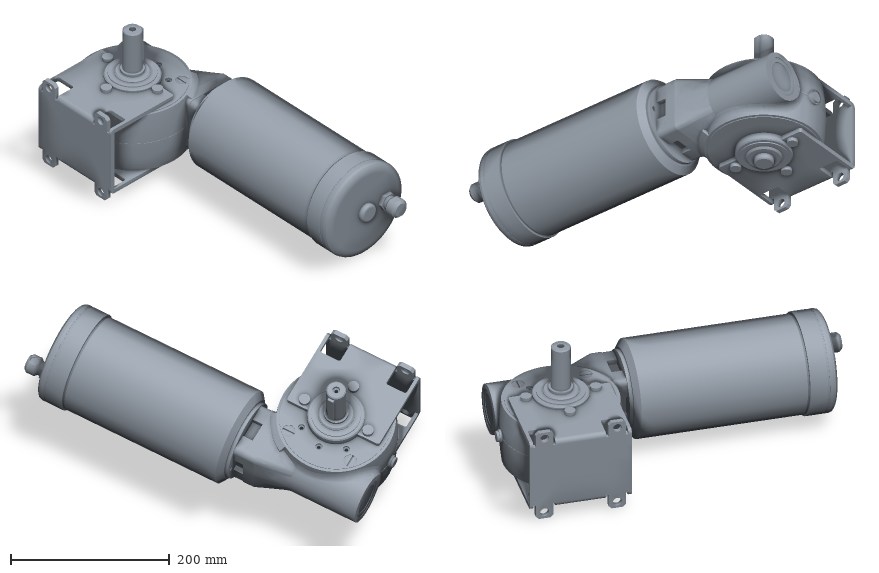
import cadquery as cq
import math


MOTOR_Y = 62.0
BODY_RADIUS = 64.5
CAP_RADIUS = 67.0
CAP_END_X = 362.0
PLATE_RADIUS = 52.0
PLATE_START_X = 93.0

DRUM_HALF_HEIGHT = 43.0
DRUM_EDGE_RADIUS = 75.5
DRUM_MID_RADIUS = 78.3
COVER_RADIUS = 71.5
COVER_Z = 44.0

TUBE_RADIUS = 32.5
TUBE_START_X = -78.3
TAPER_START_X = 15.5
BLOCK_START_X = 64.0
BLOCK_END_X = 78.5
BLOCK_SIDE = 77.0
BLOCK_CORNER = 6.5
NECK_SIDE = 76.0
BLEND_RADIUS = 9.5

SHEET = 6.0
BRACKET_WIDTH = 133.0
FOOT_Y = -100.5
SIDE_PLATE_Y = 9.5
SIDE_PLATE_Z = COVER_Z + SHEET
WINDOW_WIDTH = 29.0
WINDOW_X = 47.5
WINDOW_TOP_Y = -70.0
EAR_WIDTH = 23.0
EAR_END_Z = 65.0
EAR_HOLE_Z = 56.0
EAR_HOLE_DIAMETER = 11.5

SHAFT_DIAMETER = 25.0
SHAFT_TOP_Z = 123.5
SHAFT_BOTTOM_Z = -67.0
SHAFT_CHAMFER = 1.5
FLANGE_RADIUS = 36.5
BOLT_CIRCLE_RADIUS = 45.5
BOLT_HEAD_TOP_Z = SIDE_PLATE_Z + 5.0


def cylinder_x(x_start, x_end, radius, y=MOTOR_Y):
    """Cylinder along X, centred on z = 0."""
    plane = cq.Workplane("YZ", origin=(x_start, y, 0))
    return plane.circle(radius).extrude(x_end - x_start)


def cylinder_z(z_start, z_end, radius, x=0, y=0):
    """Cylinder along Z."""
    return cq.Workplane("XY", origin=(x, y, z_start)).circle(radius).extrude(z_end - z_start)


def revolve_x(profile, y):
    """Turn an (x, radius) outline about the line along X at the given y and z = 0."""
    return profile.revolve(360, (0, 0, 0), (1, 0, 0)).translate((0, y, 0))


def both_sides(shape):
    """The shape together with its mirror image below z = 0."""
    return shape.union(shape.mirror("XY"))


def bolt_circle_point(angle):
    """Point on the cover's bolt circle, at an angle in degrees from +X."""
    turn = math.radians(angle)
    return BOLT_CIRCLE_RADIUS * math.cos(turn), BOLT_CIRCLE_RADIUS * math.sin(turn)


def make_drum_and_tube():
    """Barrel-shaped drum with the worm tube passing beside it, joined by a rounded blend."""
    drum = (
        cq.Workplane("XZ")
        .moveTo(0, -DRUM_HALF_HEIGHT)
        .lineTo(DRUM_EDGE_RADIUS, -DRUM_HALF_HEIGHT)
        .threePointArc((DRUM_MID_RADIUS, 0), (DRUM_EDGE_RADIUS, DRUM_HALF_HEIGHT))
        .lineTo(0, DRUM_HALF_HEIGHT)
        .close()
        .revolve(360, (0, 0, 0), (0, 1, 0))
    )
    drum = drum.rotate((0, 0, 0), (0, 0, 1), -90)
    reach = 114.0
    tube = cylinder_x(-reach, reach, TUBE_RADIUS).rotate((0, MOTOR_Y, 0), (1, MOTOR_Y, 0), 90)
    body = drum.union(tube).edges("%BSPLINE").fillet(BLEND_RADIUS)

    tube_zone_y = 14.0
    for x_start, x_end in ((-reach, TUBE_START_X), (BLOCK_END_X, reach)):
        waste = (
            cq.Workplane("XY")
            .box(x_end - x_start, reach, reach, centered=(False, False, True))
            .translate((x_start, tube_zone_y, 0))
        )
        body = body.cut(waste)

    ridge_half_height = 1.0
    ridge_radius = DRUM_MID_RADIUS + 0.5
    ridge = cylinder_z(-ridge_half_height, ridge_half_height, ridge_radius)
    return body.union(ridge)


def make_taper_and_block():
    """Round worm tube widening into a square block towards the motor."""
    round_end = cq.Sketch().circle(TUBE_RADIUS)
    square_end = cq.Sketch().rect(BLOCK_SIDE, BLOCK_SIDE).vertices().fillet(BLOCK_CORNER)
    taper_length = BLOCK_START_X - TAPER_START_X
    taper = (
        cq.Workplane("YZ", origin=(TAPER_START_X, MOTOR_Y, 0))
        .placeSketch(round_end, square_end.moved(cq.Location(cq.Vector(0, 0, taper_length))))
        .loft()
    )
    block = (
        cq.Workplane("YZ", origin=(BLOCK_START_X, MOTOR_Y, 0))
        .placeSketch(square_end)
        .extrude(BLOCK_END_X - BLOCK_START_X)
    )
    return taper.union(block)


def make_shoulder():
    """Sloping shoulder that runs from the drum rim down onto the square block."""
    block_top_z = BLOCK_SIDE / 2
    inner_radius = DRUM_EDGE_RADIUS - 2.5
    outer_radius = 83.5
    base_z = 31.0
    first_angle = 22
    sweep = 38
    shoulder = (
        cq.Workplane("XZ")
        .moveTo(inner_radius, base_z)
        .lineTo(outer_radius, base_z)
        .lineTo(outer_radius, block_top_z)
        .lineTo(DRUM_EDGE_RADIUS, DRUM_HALF_HEIGHT)
        .lineTo(inner_radius, DRUM_HALF_HEIGHT)
        .close()
        .revolve(sweep, (0, 0, 0), (0, 1, 0))
        .rotate((0, 0, 0), (0, 0, 1), first_angle)
    )
    limit = cq.Workplane("XY").box(BLOCK_END_X, BLOCK_END_X, DRUM_HALF_HEIGHT, centered=False)
    return shoulder.intersect(limit)


def make_tube_end_recess():
    """Two-step round recess in the closed end of the worm tube."""
    depth = 1.0
    wide_radius = 26.0
    narrow_radius = 20.0
    wide = cylinder_x(TUBE_START_X, TUBE_START_X + depth, wide_radius)
    narrow = cylinder_x(TUBE_START_X, TUBE_START_X + 2 * depth, narrow_radius)
    return wide.union(narrow)


def make_neck():
    """Square neck between gearbox and motor, with a channel along each of its four faces."""
    channel_width = 26.0
    channel_depth = 7.0
    corner_radius = 7.0
    length = PLATE_START_X - BLOCK_END_X
    neck = (
        cq.Workplane("YZ", origin=(BLOCK_END_X, MOTOR_Y, 0))
        .rect(NECK_SIDE, NECK_SIDE)
        .extrude(length)
        .edges("|X")
        .fillet(corner_radius)
    )
    half = NECK_SIDE / 2
    channels = (
        cq.Workplane("YZ", origin=(BLOCK_END_X, MOTOR_Y, 0))
        .pushPoints([(half, 0), (-half, 0)])
        .rect(2 * channel_depth, channel_width)
        .pushPoints([(0, half), (0, -half)])
        .rect(channel_width, 2 * channel_depth)
        .extrude(length)
    )
    return neck.cut(channels)


def make_motor():
    plate_end_x = 97.5
    cone_start_radius = 55.0
    cone_end_x = 105.0
    groove_start_x = 321.5
    groove_radius = BODY_RADIUS - 1.5
    cap_start_x = 324.5
    cap_groove_start_x = 347.0
    cap_groove_end_x = 350.0
    cap_groove_radius = CAP_RADIUS - 0.5
    bevel_start_x = 354.5
    dome_start = (357.5, 66.0)
    dome_flat_radius = 55.5
    profile = (
        cq.Workplane("XY")
        .moveTo(CAP_END_X, 0)
        .lineTo(CAP_END_X, dome_flat_radius)
        .tangentArcPoint(dome_start, relative=False)
        .lineTo(bevel_start_x, CAP_RADIUS)
        .lineTo(cap_groove_end_x, CAP_RADIUS)
        .lineTo(cap_groove_end_x, cap_groove_radius)
        .lineTo(cap_groove_start_x, cap_groove_radius)
        .lineTo(cap_groove_start_x, CAP_RADIUS)
        .lineTo(cap_start_x, CAP_RADIUS)
        .lineTo(cap_start_x, groove_radius)
        .lineTo(groove_start_x, groove_radius)
        .lineTo(groove_start_x, BODY_RADIUS)
        .lineTo(cone_end_x, BODY_RADIUS)
        .lineTo(plate_end_x, cone_start_radius)
        .lineTo(plate_end_x, PLATE_RADIUS)
        .lineTo(PLATE_START_X, PLATE_RADIUS)
        .lineTo(PLATE_START_X, 0)
        .close()
    )
    hole_radius = 3.55
    hole_depth = 4.0
    hole_offset = 43.5
    hole_y = MOTOR_Y + hole_offset
    hole = cylinder_x(PLATE_START_X, PLATE_START_X + hole_depth, hole_radius, hole_y)
    return revolve_x(profile, MOTOR_Y).cut(hole)


def make_cable_gland():
    gland_y = 96.8
    gland_radius = 13.0
    hex_length = 5.5
    neck_radius = 9.5
    neck_end_x = 372.0
    nut_start_x = 375.5
    nut_end_x = 386.0
    end_x = 390.0
    dimple_x = 380.5
    dimple_radius = 5.5
    dimple_depth = 2.0
    profile = (
        cq.Workplane("XY")
        .moveTo(CAP_END_X, 0)
        .lineTo(CAP_END_X, neck_radius)
        .lineTo(neck_end_x, neck_radius)
        .lineTo(nut_start_x, gland_radius)
        .lineTo(nut_end_x, gland_radius)
        .lineTo(end_x, neck_radius)
        .lineTo(end_x, 0)
        .close()
    )
    hexagon = (
        cq.Workplane("YZ", origin=(CAP_END_X, gland_y, 0))
        .polygon(6, 2 * gland_radius)
        .extrude(hex_length)
    )
    dimple = cylinder_z(gland_radius - dimple_depth, gland_radius, dimple_radius, dimple_x, gland_y)
    return revolve_x(profile, gland_y).union(hexagon).cut(dimple)


def make_cap_screw():
    """Domed screw in the middle of the motor cap."""
    head_radius = 13.0
    head_height = 7.0
    head_rounding = 4.0
    head = cylinder_x(CAP_END_X, CAP_END_X + head_height, head_radius)
    return head.faces(">X").edges().fillet(head_rounding)


def make_bracket():
    """Folded sheet: a foot plate, two side plates and four ears with holes."""
    plate_corner_radius = 3.5
    window_corner_radius = 3.0
    ear_chamfer = 4.0
    depth = SIDE_PLATE_Y - FOOT_Y
    outer = (
        cq.Workplane("XY")
        .box(BRACKET_WIDTH, depth, 2 * SIDE_PLATE_Z)
        .translate((0, FOOT_Y + depth / 2, 0))
        .edges("|X and <Y")
        .fillet(SHEET)
        .edges("|Z and >Y")
        .fillet(plate_corner_radius)
    )
    inner = (
        cq.Workplane("XY")
        .box(BRACKET_WIDTH, depth, 2 * COVER_Z)
        .translate((0, FOOT_Y + SHEET + depth / 2, 0))
    )
    bracket = outer.cut(inner)
    window_length = WINDOW_TOP_Y - FOOT_Y
    window = (
        cq.Workplane("XY")
        .box(WINDOW_WIDTH, window_length, SHEET)
        .edges("|Z and >Y")
        .fillet(window_corner_radius)
        .translate((0, FOOT_Y + window_length / 2, COVER_Z + SHEET / 2))
    )
    ear_length = EAR_END_Z - COVER_Z + SHEET
    ear = (
        cq.Workplane("XY")
        .box(EAR_WIDTH, SHEET, ear_length)
        .edges("|Y and >Z")
        .chamfer(ear_chamfer)
        .translate((0, FOOT_Y + SHEET / 2, EAR_END_Z - ear_length / 2))
    )
    ear_hole = (
        cq.Workplane("XZ", origin=(0, FOOT_Y + SHEET, EAR_HOLE_Z))
        .circle(EAR_HOLE_DIAMETER / 2)
        .extrude(SHEET)
    )
    ear = ear.cut(ear_hole)
    for x in (-WINDOW_X, WINDOW_X):
        bracket = bracket.cut(both_sides(window.translate((x, 0, 0))))
        bracket = bracket.union(both_sides(ear.translate((x, 0, 0))))
    return bracket


def make_bearing_flange():
    """Stepped flange around the shaft, with three bolt heads on the side plate."""
    flange_z = 54.5
    flange_chamfer = 1.5
    step_z = 56.0
    step_radius = 31.5
    hub_z = 59.0
    hub_radius = 23.2
    hub_chamfer = 2.0
    bolt_head_radius = 7.0
    flange = cylinder_z(COVER_Z, flange_z, FLANGE_RADIUS).faces(">Z").edges().chamfer(flange_chamfer)
    step = cylinder_z(flange_z, step_z, step_radius)
    hub = cylinder_z(step_z, hub_z, hub_radius).faces(">Z").edges().chamfer(hub_chamfer)
    flange = flange.union(step).union(hub)
    for angle in (180, 270, 360):
        x, y = bolt_circle_point(angle)
        flange = flange.union(cylinder_z(COVER_Z, BOLT_HEAD_TOP_Z, bolt_head_radius, x, y))
    return flange


def make_shaft():
    shaft = cylinder_z(SHAFT_BOTTOM_Z, SHAFT_TOP_Z, SHAFT_DIAMETER / 2)
    shaft = shaft.faces("<Z or >Z").edges().chamfer(SHAFT_CHAMFER)
    collar_z = 62.5
    collar_radius = 15.5
    shaft = shaft.union(cylinder_z(COVER_Z, collar_z, collar_radius))
    key_start_z = 69.0
    key_length = 50.0
    key_width = 8.0
    key_outer_y = 15.5
    key = (
        cq.Workplane("XY")
        .box(key_width, key_outer_y, key_length, centered=(True, False, False))
        .translate((0, 0, key_start_z))
    )
    mouth_radius = 4.7
    mouth_depth = 4.0
    bore_radius = 2.5
    bore_depth = 14.0
    mouth = cylinder_z(SHAFT_TOP_Z - mouth_depth, SHAFT_TOP_Z, mouth_radius)
    bore = cylinder_z(SHAFT_TOP_Z - bore_depth, SHAFT_TOP_Z, bore_radius)
    return shaft.union(key).cut(mouth).cut(bore)


def cut_cover_details(body):
    """Sink three stepped holes and two slotted screws into the top cover."""
    mouth_radius = 4.5
    mouth_depth = 2.5
    bore_radius = 2.5
    bore_depth = 9.5
    for angle in (45, 90, 135):
        x, y = bolt_circle_point(angle)
        body = body.cut(cylinder_z(COVER_Z - mouth_depth, COVER_Z, mouth_radius, x, y))
        body = body.cut(cylinder_z(COVER_Z - bore_depth, COVER_Z, bore_radius, x, y))

    screw_offset = 44.0
    screw_radius = 8.5
    screw_depth = 1.0
    slot_width = 2.0
    slot_depth = 3.5
    for x, slot_angle in ((-screw_offset, 90), (screw_offset, 0)):
        head = cylinder_z(COVER_Z - screw_depth, COVER_Z, screw_radius)
        slot = (
            cq.Workplane("XY")
            .box(2 * screw_radius, slot_width, slot_depth)
            .translate((0, 0, COVER_Z - slot_depth / 2))
            .intersect(cylinder_z(0, COVER_Z, screw_radius))
            .rotate((0, 0, 0), (0, 0, 1), slot_angle)
        )
        body = body.cut(head.union(slot).translate((x, screw_offset, 0)))
    return body


def make_plug():
    """Screw plug with a collar on the -X side of the drum."""
    collar_start_x = -81.0
    collar_end_x = -71.0
    collar_radius = 8.5
    head_start_x = -84.5
    head_radius = 7.0
    collar = cylinder_x(collar_start_x, collar_end_x, collar_radius, 0)
    return collar.union(cylinder_x(head_start_x, collar_start_x, head_radius, 0))


pieces = [
    make_taper_and_block(),
    both_sides(make_shoulder()),
    both_sides(cylinder_z(0, COVER_Z, COVER_RADIUS)),
    both_sides(make_bearing_flange()),
    make_plug(),
    make_shaft(),
    make_bracket(),
    make_neck(),
    make_motor(),
    make_cable_gland(),
    make_cap_screw(),
]
result = make_drum_and_tube()
for piece in pieces:
    result = result.union(piece)
result = result.cut(make_tube_end_recess())
result = cut_cover_details(result)